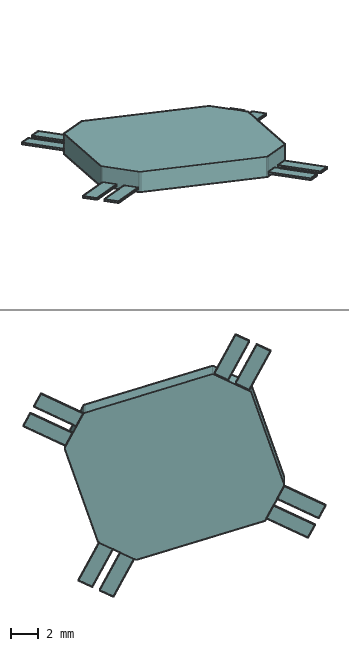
import cadquery as cq
import math

overall_length = 18.79

body_width = 12.1
body_length = 14.17
body_height = 1.56
corner_cut = 2.18
corner_radius = 0.15

lead_width = 1.13
lead_pitch = 1.71
lead_thickness = 0.15
lead_bottom = 0.2
lead_embed = 0.19

cut_middle_x = (body_width - corner_cut) / 2
cut_middle_y = (body_length - corner_cut) / 2

pair_half_span = (lead_pitch + lead_width) / 2
lead_length = (overall_length / 2 - cut_middle_y) * math.sqrt(2) - pair_half_span


def make_body():
    """Rectangular block with cut corners and softened upright edges."""
    block = cq.Workplane("XY").box(body_width, body_length, body_height, centered=(True, True, False))
    return block.edges("|Z").chamfer(corner_cut).edges("|Z").fillet(corner_radius)


def make_lead_pair(side_x, side_y):
    """Two parallel leads square to the cut face of one corner."""
    outward_angle = math.degrees(math.atan2(side_y, side_x))
    return (
        cq.Workplane("XY")
        .pushPoints([(0, -lead_pitch / 2), (0, lead_pitch / 2)])
        .box(lead_length + lead_embed, lead_width, lead_thickness, centered=(False, True, False))
        .translate((-lead_embed, 0, lead_bottom))
        .rotate((0, 0, 0), (0, 0, 1), outward_angle)
        .translate((side_x * cut_middle_x, side_y * cut_middle_y, 0))
    )


result = make_body()
for side_x in (-1, 1):
    for side_y in (-1, 1):
        result = result.union(make_lead_pair(side_x, side_y))